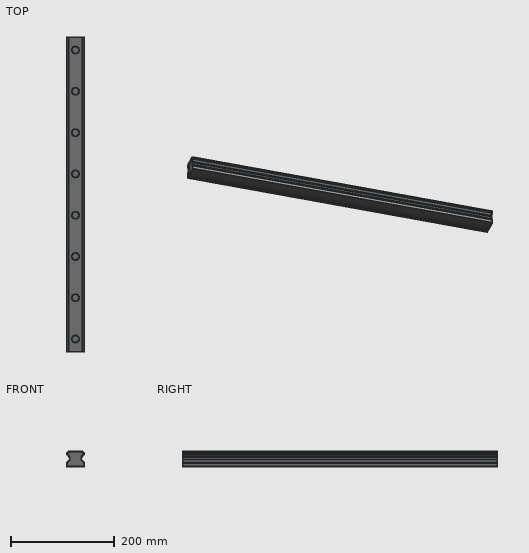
import cadquery as cq

length = 610.0
width = 34.0
height = 29.0
half_width = width / 2

upper_groove_inset = 3.5
upper_groove_bottom = 26.0
lip_bottom = 24.5
lower_groove_inset = 4.0
lower_groove_bottom = 19.0
floor_inset = 5.5
floor_top = 17.5
floor_bottom = 13.0
foot_slope_bottom = 8.0

bevel_inset = 0.5
bevel_rise = 1.0
foot_top = foot_slope_bottom - bevel_rise

upper_groove_sag = 0.9
lower_groove_sag = 0.9

seat_count = 8
seat_diameter = 14.0
seat_depth = 0.5
end_distance = 25.0
seat_pitch = (length - 2 * end_distance) / (seat_count - 1)


def right_half_body():
    """Extrude the half of the grooved cross-section with X above zero along Y."""
    section = (
        cq.Workplane("XZ")
        .lineTo(half_width, 0)
        .lineTo(half_width, foot_top)
        .lineTo(half_width - bevel_inset, foot_slope_bottom)
        .lineTo(half_width - floor_inset, floor_bottom)
        .lineTo(half_width - floor_inset, floor_top)
        .lineTo(half_width - lower_groove_inset, lower_groove_bottom)
        .sagittaArc((half_width - bevel_inset, lip_bottom - bevel_rise), lower_groove_sag)
        .lineTo(half_width, lip_bottom)
        .lineTo(half_width, upper_groove_bottom)
        .sagittaArc((half_width - upper_groove_inset, height), upper_groove_sag)
        .lineTo(0, height)
        .close()
    )
    return section.extrude(length / 2, both=True)


def cap_seats():
    """Discs that sink the cap seats into the top face."""
    return (
        cq.Workplane("XY", origin=(0, 0, height))
        .rarray(6, seat_pitch, 1, seat_count)
        .circle(seat_diameter / 2)
        .extrude(-seat_depth)
    )


right_half = right_half_body()
rail = right_half.union(right_half.mirror("YZ")).clean()
result = rail.cut(cap_seats())